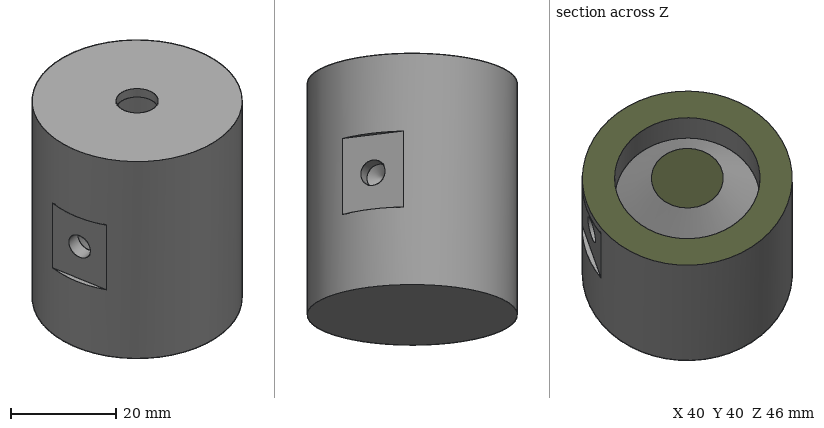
import cadquery as cq

height = 46.0
outer_diameter = 40.0
lid_thickness = 2.0
floor_thickness = lid_thickness
cavity_diameter = 27.6
top_hole_diameter = 8.0

flat_depth = 1.0
flat_height = 15.1
side_hole_diameter = 5.0
side_hole_depth = 3.0
side_hole_tip_depth = 1.7

core_diameter = cavity_diameter
core_tip_gap = 4.6
core_cone_height = core_diameter / 2

top_z = height / 2
cavity_floor_z = -top_z + floor_thickness
cavity_height = height - lid_thickness - floor_thickness
flat_y = -outer_diameter / 2 + flat_depth


def make_side_hole():
    """Blind hole along +Y that starts on the flat and ends in a cone."""
    radius = side_hole_diameter / 2
    tip_y = flat_y + side_hole_depth + side_hole_tip_depth
    return (
        cq.Workplane("XY")
        .moveTo(0, flat_y)
        .lineTo(radius, flat_y)
        .lineTo(radius, flat_y + side_hole_depth)
        .lineTo(0, tip_y)
        .close()
        .revolve(360, (0, 0, 0), (0, 1, 0))
    )


def make_housing():
    """Closed round shell with a hole in its lid and a drilled flat on its side."""
    shell = cq.Workplane("XY").circle(outer_diameter / 2).extrude(height / 2, both=True)
    cavity = (
        cq.Workplane("XY", origin=(0, 0, cavity_floor_z))
        .circle(cavity_diameter / 2)
        .extrude(cavity_height)
    )
    top_hole = (
        cq.Workplane("XY", origin=(0, 0, top_z))
        .circle(top_hole_diameter / 2)
        .extrude(-lid_thickness)
    )
    flat = cq.Workplane("XY").box(outer_diameter, flat_depth, flat_height).translate(
        (0, flat_y - flat_depth / 2, 0)
    )
    return shell.cut(cavity).cut(top_hole).cut(flat).cut(make_side_hole())


def make_core():
    """Cylinder that fills the bore, ending in a cone below the lid hole."""
    radius = core_diameter / 2
    tip_z = top_z - lid_thickness - core_tip_gap
    return (
        cq.Workplane("XZ")
        .moveTo(0, cavity_floor_z)
        .lineTo(radius, cavity_floor_z)
        .lineTo(radius, tip_z - core_cone_height)
        .lineTo(0, tip_z)
        .close()
        .revolve(360, (0, 0, 0), (0, 1, 0))
    )


housing = make_housing()
core = make_core()

result = cq.Compound.makeCompound([housing.val(), core.val()])